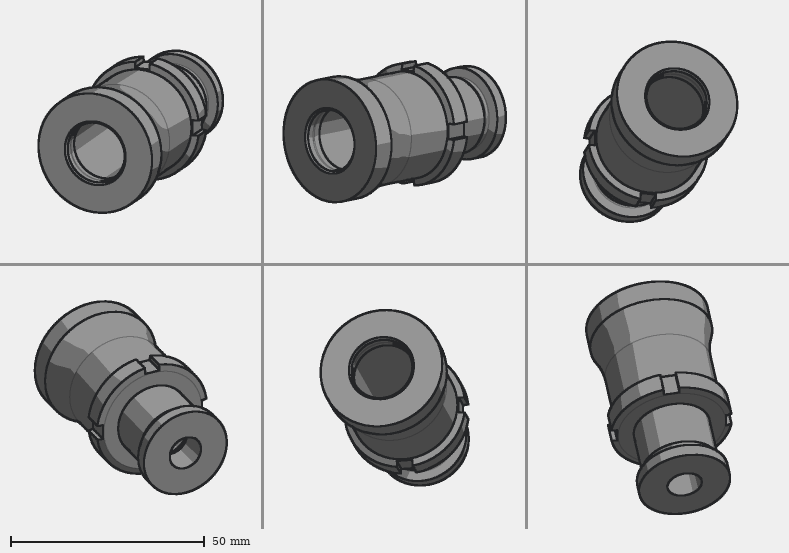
import cadquery as cq
import math

length = 54.85

base_radius = 16.0
base_length = 6.0
barrel_radius = 13.9
flare_end = 16.0
flange_radius = 15.85
flange_start = 30.0
flange_end = 36.0
flange_bevel_length = 0.5
flange_bevel_radius = 14.1

slot_count = 4
slot_width = 4.05
slot_floor = 14.25

mouth_radius = 8.55
mouth_bevel_length = 0.6
lip_radius = 8.0
lip_end = 2.45
lip_taper_end = 3.25

stem_radius = 10.0
stem_start = 5.2
stem_bevel_start = 48.7
stem_bevel_end = 49.4
stem_bevel_radius = 9.4
groove_radius = 9.15
groove_start = 49.75
groove_end = 50.2
groove_fillet_end = 50.9
groove_fillet_radius = 9.65
head_radius = 11.95
head_start = 51.5

bore_radius = 8.2
bore_end = 41.65
ledge_radius = 7.85
ledge_end = 43.85
step_radius = 7.0
step_end = 46.05
outlet_radius = 4.5
outlet_bevel = 0.5


def turn(profile):
    """Revolve a closed XY profile once around the Y axis."""
    return profile.close().revolve(360, (0, 0, 0), (0, 1, 0))


def flare_middle():
    """Middle point of the flare arc, which is tangent to the barrel."""
    run = flare_end - base_length
    rise = base_radius - barrel_radius
    arc_radius = (run**2 + rise**2) / (2 * rise)
    half_angle = math.asin(run / arc_radius) / 2
    radius = barrel_radius + arc_radius * (1 - math.cos(half_angle))
    return radius, flare_end - arc_radius * math.sin(half_angle)


def make_housing():
    body = turn(
        cq.Workplane("XY")
        .moveTo(mouth_radius, 0)
        .lineTo(base_radius, 0)
        .lineTo(base_radius, base_length)
        .threePointArc(flare_middle(), (barrel_radius, flare_end))
        .lineTo(barrel_radius, flange_start)
        .lineTo(flange_bevel_radius, flange_start)
        .lineTo(flange_radius, flange_start + flange_bevel_length)
        .lineTo(flange_radius, flange_end - flange_bevel_length)
        .lineTo(flange_bevel_radius, flange_end)
        .lineTo(stem_radius, flange_end)
        .lineTo(stem_radius, stem_start)
        .lineTo(bore_radius, stem_start)
        .lineTo(bore_radius, lip_taper_end)
        .lineTo(lip_radius, lip_end)
        .lineTo(lip_radius, mouth_bevel_length)
    )
    slot = cq.Workplane("XY").box(
        flange_radius - slot_floor, flange_end - flange_start, slot_width, centered=(False, False, True)
    ).translate((slot_floor, flange_start, 0))
    for index in range(slot_count):
        body = body.cut(slot.rotate((0, 0, 0), (0, 1, 0), index * 360 / slot_count))
    return body


def make_stem():
    return turn(
        cq.Workplane("XY")
        .moveTo(bore_radius, stem_start)
        .lineTo(stem_radius, stem_start)
        .lineTo(stem_radius, stem_bevel_start)
        .lineTo(stem_bevel_radius, stem_bevel_end)
        .lineTo(groove_radius, groove_start)
        .lineTo(groove_radius, groove_end)
        .tangentArcPoint((groove_fillet_radius, groove_fillet_end), relative=False)
        .lineTo(head_radius, head_start)
        .lineTo(head_radius, length)
        .lineTo(outlet_radius, length)
        .lineTo(outlet_radius, step_end + outlet_bevel)
        .lineTo(outlet_radius + outlet_bevel, step_end)
        .lineTo(step_radius, step_end)
        .lineTo(step_radius, ledge_end)
        .lineTo(ledge_radius, ledge_end)
        .lineTo(ledge_radius, bore_end)
        .lineTo(bore_radius, bore_end)
    )


housing = make_housing()
stem = make_stem()
result = cq.Compound.makeCompound([housing.val(), stem.val()])